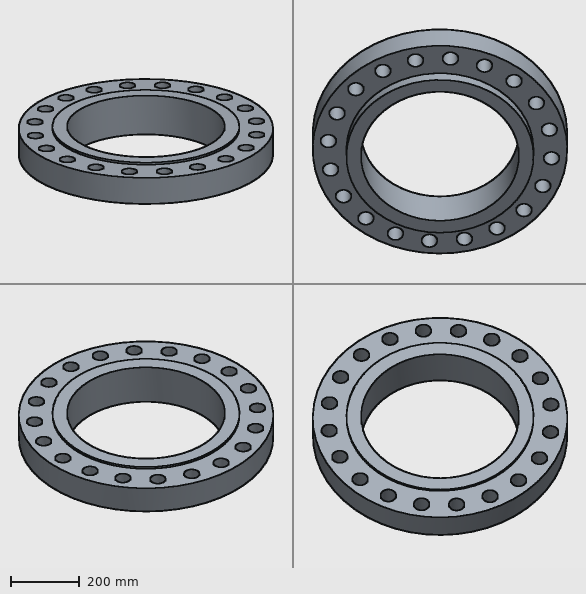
import cadquery as cq

flange_diameter = 743.0
total_height = 123.0
bore_diameter = 461.0

face_diameter = 546.0
face_height = 7.0
hub_height = 33.5
flange_thickness = total_height - face_height - hub_height

bolt_count = 20
bolt_hole_diameter = 45.0
bolt_circle_diameter = 654.0
bolt_pitch_angle = 360 / bolt_count


def make_body():
    """Stack the hub, flange and raised face, with the hub bottom at Z = 0."""
    hub_and_face = cq.Workplane("XY").circle(face_diameter / 2).extrude(total_height)
    flange = (
        cq.Workplane("XY")
        .workplane(offset=hub_height)
        .circle(flange_diameter / 2)
        .extrude(flange_thickness)
    )
    return hub_and_face.union(flange)


def make_bore():
    return cq.Workplane("XY").circle(bore_diameter / 2).extrude(total_height)


def make_bolt_holes():
    return (
        cq.Workplane("XY")
        .polarArray(bolt_circle_diameter / 2, bolt_pitch_angle / 2, 360, bolt_count)
        .circle(bolt_hole_diameter / 2)
        .extrude(total_height)
    )


result = make_body().cut(make_bore()).cut(make_bolt_holes())